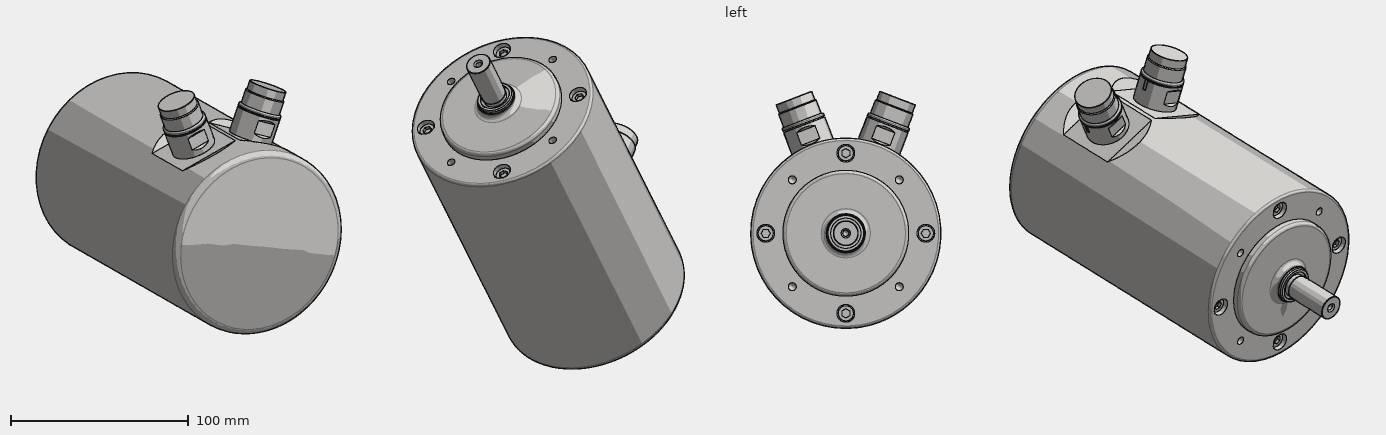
import cadquery as cq
import math

total_length = 212.0
shaft_length = 42.5
rear_apex_x = total_length - shaft_length

housing_d = 107.0
front_edge_fillet = 1.4
rear_edge_fillet = 3.5
rear_cone_height = 1.2

spigot_d = 70.8
spigot_length = 5.0
spigot_fillet = 1.9
cover_cone_height = 1.8
boss_foot_d = 27.6
boss_d = 22.0
boss_foot_radius = (boss_foot_d - boss_d) / 2
boss_length = 1.0

collar_d = 21.0
collar_face_d = 20.0
collar_chamfer_length = 1.0
collar_face_x = -shaft_length + 29.6
seal_recess_d = 17.0
seal_recess_depth = 1.0

shaft_d = 14.0
shaft_neck_d = 13.5
shaft_tip_chamfer = (shaft_d - shaft_neck_d) / 2
shaft_neck_x = -shaft_length + 27.8
center_hole_d = 3.43
center_hole_mouth_d = 5.19
center_hole_depth = 10.0

mount_hole_count = 4
mount_circle_d = 85.0
mount_hole_d = 4.5
mount_hole_depth = 10.0
drill_point_angle = 118.0
screw_count = 4
screw_circle_d = 90.0
screw_pocket_d = 10.0
screw_pocket_depth = 5.0
screw_head_d = 8.5
screw_head_setback = 2.5
hex_across_corners = 5.19
hex_depth = 2.0

connector_x = 166.0 - shaft_length
connector_tilt = 21.0
seat_distance = 50.4
seat_floor_length = 36.5
seat_mouth_length = 53.0

connector_height = 31.0
base_d = 25.0
base_top = 14.9
groove_d = 23.0
groove_top = 15.7
rim_top = 17.6
rim_fillet = 1.0
body_d = 22.7
cap_d = 21.5
cap_edge_d = 21.15
cap_bottom = 26.0
cap_step_height = (body_d - cap_d) / 2
cap_edge_chamfer = (cap_d - cap_edge_d) / 2
flat_across = 22.4
flat_bottom = 4.7
flat_top = 12.2
flat_slope_angle = 45.0
key_slot_width = 2.0
key_slot_depth = 0.4
key_slot_bottom = 9.0


def revolve_about_x(profile):
    return profile.close().revolve(360, (0, 0, 0), (1, 0, 0))


def polar_points(count, circle_d, first_angle):
    radius = circle_d / 2
    angles = [math.radians(first_angle + 360 / count * i) for i in range(count)]
    return [(radius * math.cos(a), radius * math.sin(a)) for a in angles]


def make_housing():
    radius = housing_d / 2
    rear_rim_x = rear_apex_x - rear_cone_height
    housing = revolve_about_x(
        cq.Workplane("XY")
        .moveTo(0, 0)
        .lineTo(0, radius)
        .lineTo(rear_rim_x, radius)
        .lineTo(rear_apex_x, 0)
    )
    housing = housing.faces("<X").edges().fillet(front_edge_fillet)
    return housing.edges("%CIRCLE").edges(">X").fillet(rear_edge_fillet)


def make_front_cover():
    spigot_r = spigot_d / 2
    boss_r = boss_d / 2
    foot_x = -spigot_length - cover_cone_height
    boss_start_x = foot_x - boss_foot_radius
    boss_face_x = boss_start_x - boss_length
    diagonal = boss_foot_radius * math.sqrt(0.5)
    spigot_diagonal = spigot_fillet * math.sqrt(0.5)
    fillet_x = -spigot_length + spigot_fillet
    fillet_r = spigot_r - spigot_fillet
    return revolve_about_x(
        cq.Workplane("XY")
        .moveTo(front_edge_fillet, 0)
        .lineTo(front_edge_fillet, spigot_r)
        .lineTo(fillet_x, spigot_r)
        .threePointArc(
            (fillet_x - spigot_diagonal, fillet_r + spigot_diagonal), (-spigot_length, fillet_r)
        )
        .lineTo(foot_x, boss_foot_d / 2)
        .threePointArc(
            (boss_start_x + diagonal, boss_foot_d / 2 - diagonal), (boss_start_x, boss_r)
        )
        .lineTo(boss_face_x, boss_r)
        .lineTo(boss_face_x, collar_d / 2)
        .lineTo(collar_face_x + collar_chamfer_length, collar_d / 2)
        .lineTo(collar_face_x, collar_face_d / 2)
        .lineTo(collar_face_x, seal_recess_d / 2)
        .lineTo(collar_face_x + seal_recess_depth, seal_recess_d / 2)
        .lineTo(collar_face_x + seal_recess_depth, 0)
    )


def make_shaft():
    tip_x = -shaft_length
    return revolve_about_x(
        cq.Workplane("XY")
        .moveTo(tip_x, 0)
        .lineTo(tip_x, shaft_neck_d / 2)
        .lineTo(tip_x + shaft_tip_chamfer, shaft_d / 2)
        .lineTo(shaft_neck_x, shaft_d / 2)
        .lineTo(shaft_neck_x, shaft_neck_d / 2)
        .lineTo(0, shaft_neck_d / 2)
        .lineTo(0, 0)
    )


def make_drilled_hole(start_x, diameter, depth):
    radius = diameter / 2
    point_length = radius / math.tan(math.radians(drill_point_angle / 2))
    return revolve_about_x(
        cq.Workplane("XY")
        .moveTo(start_x, 0)
        .lineTo(start_x, radius)
        .lineTo(start_x + depth, radius)
        .lineTo(start_x + depth + point_length, 0)
    )


def make_center_hole():
    tip_x = -shaft_length
    countersink_depth = (center_hole_mouth_d - center_hole_d) / 2
    countersink = revolve_about_x(
        cq.Workplane("XY")
        .moveTo(tip_x, 0)
        .lineTo(tip_x, center_hole_mouth_d / 2)
        .lineTo(tip_x + countersink_depth, center_hole_d / 2)
        .lineTo(tip_x + countersink_depth, 0)
    )
    return make_drilled_hole(tip_x, center_hole_d, center_hole_depth).union(countersink)


def make_screw_recess():
    """Ring gap around a sunk screw head with its hexagon socket."""
    pocket = cq.Workplane("YZ").circle(screw_pocket_d / 2).extrude(screw_pocket_depth)
    head = (
        cq.Workplane("YZ", origin=(screw_head_setback, 0, 0))
        .circle(screw_head_d / 2)
        .extrude(screw_pocket_depth - screw_head_setback)
    )
    socket = (
        cq.Workplane("YZ", origin=(screw_head_setback, 0, 0))
        .polygon(6, hex_across_corners)
        .extrude(hex_depth)
    )
    return pocket.cut(head).union(socket)


def make_seat():
    """Wide trapezoidal cutter for a vertical connector, floor at seat_distance."""
    rise = housing_d / 2 - seat_distance
    run = (seat_mouth_length - seat_floor_length) / 2
    cutter_height = housing_d / 2
    floor_half = seat_floor_length / 2
    top_half = floor_half + run * cutter_height / rise
    return (
        cq.Workplane("XZ", origin=(connector_x, 0, seat_distance))
        .polyline(
            [
                (-floor_half, 0),
                (floor_half, 0),
                (top_half, cutter_height),
                (-top_half, cutter_height),
            ]
        )
        .close()
        .extrude(housing_d / 2, both=True)
    )


def tilt(shape, side):
    return shape.rotate((0, 0, 0), (1, 0, 0), side * connector_tilt)


def make_motor():
    motor = make_housing().union(make_front_cover()).union(make_shaft()).cut(make_center_hole())
    mount_hole = make_drilled_hole(0, mount_hole_d, mount_hole_depth)
    for y, z in polar_points(mount_hole_count, mount_circle_d, 45):
        motor = motor.cut(mount_hole.translate((0, y, z)))
    screw_recess = make_screw_recess().translate((0, screw_circle_d / 2, 0))
    for i in range(screw_count):
        motor = motor.cut(screw_recess.rotate((0, 0, 0), (1, 0, 0), 360 / screw_count * i))
    for side in (-1, 1):
        motor = motor.cut(tilt(make_seat(), side))
    return motor


def make_spanner_flat():
    """Cutter for the flat on the +X side; its two ends slope outwards."""
    flat_x = flat_across / 2
    cut_depth = base_d / 2
    end_slope = cut_depth * math.tan(math.radians(flat_slope_angle))
    return (
        cq.Workplane("XZ")
        .polyline(
            [
                (flat_x, flat_bottom),
                (flat_x, flat_top),
                (flat_x + cut_depth, flat_top + end_slope),
                (flat_x + cut_depth, flat_bottom - end_slope),
            ]
        )
        .close()
        .extrude(base_d, both=True)
    )


def make_key_slot():
    """Shallow slot cutter on the +Y side, open at its top into the groove."""
    slot_floor_y = base_d / 2 - key_slot_depth
    return (
        cq.Workplane("XZ", origin=(0, slot_floor_y, (key_slot_bottom + base_top) / 2))
        .rect(key_slot_width, base_top - key_slot_bottom)
        .extrude(-base_d / 2)
    )


def make_connector(side):
    body = (
        cq.Workplane("XZ")
        .moveTo(0, 0)
        .lineTo(base_d / 2, 0)
        .lineTo(base_d / 2, base_top)
        .lineTo(groove_d / 2, base_top)
        .lineTo(groove_d / 2, groove_top)
        .lineTo(base_d / 2, groove_top)
        .lineTo(base_d / 2, rim_top - rim_fillet)
        .radiusArc((base_d / 2 - rim_fillet, rim_top), -rim_fillet)
        .lineTo(body_d / 2, rim_top)
        .lineTo(body_d / 2, cap_bottom - cap_step_height)
        .lineTo(cap_d / 2, cap_bottom)
        .lineTo(cap_d / 2, connector_height - cap_edge_chamfer)
        .lineTo(cap_edge_d / 2, connector_height)
        .lineTo(0, connector_height)
        .close()
        .revolve(360, (0, 0, 0), (0, 1, 0))
    )
    flat = make_spanner_flat()
    body = body.cut(flat).cut(flat.mirror("YZ")).cut(make_key_slot())
    return tilt(body.translate((connector_x, 0, seat_distance)), side)


motor = make_motor()
connectors = [make_connector(side) for side in (-1, 1)]

result = cq.Compound.makeCompound([motor.val(), *[c.val() for c in connectors]])